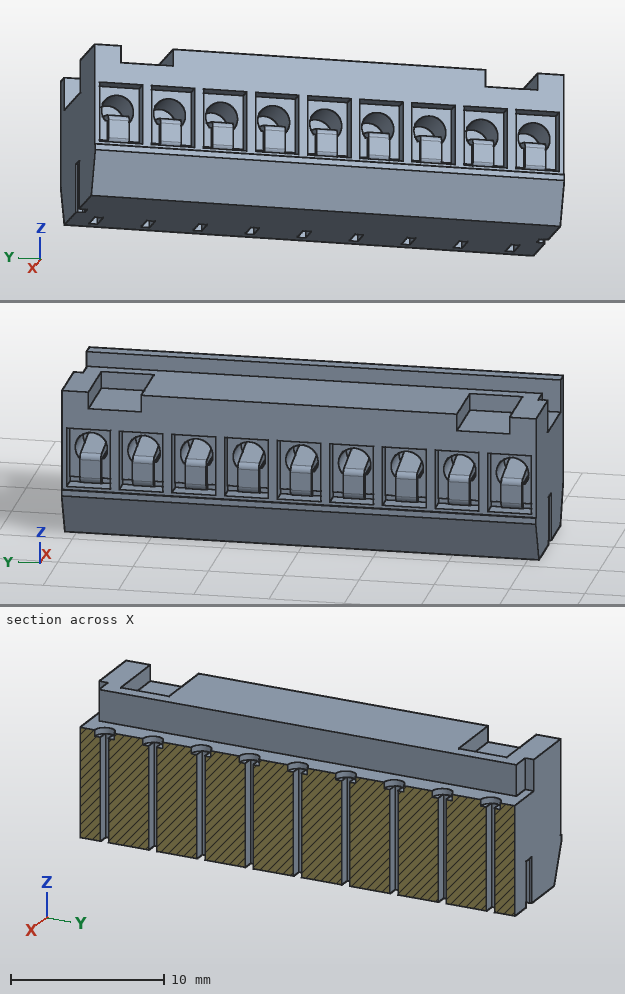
import cadquery as cq
import math

length = 31.5
width = 9.5
height = 10.0
half_length = length / 2

pole_count = 9
pole_pitch = 3.5
pole_positions = [(i - (pole_count - 1) / 2) * pole_pitch for i in range(pole_count)]

lip_overhang = 0.13
lip_top = 3.2
taper_top = 2.8
foot_left = 1.1
foot_right = 8.5
channel_left = 5.48
channel_right = 8.5
channel_floor = 7.78

shoulder_left = 4.15
shoulder_length = 0.63

top_pocket_right = 4.57
top_pocket_depth = 1.13

key_center = 4.88
key_mouth = 0.88
key_chamfer = 0.05
key_chamfer_length = 0.13
key_depth = 0.57
key_height = 3.25

entry_width = 2.9
entry_bottom = 3.43
entry_top = 7.43
entry_depth = 1.0
undercut_height = 0.38
undercut_depth = 0.15
entry_back = lip_overhang + entry_depth

wire_hole_radius = 1.07
wire_hole_z = 5.83
wire_hole_flat = 5.15
wire_hole_depth = 2.68
wire_hole_end = entry_back + wire_hole_depth

contact_width = 1.4
contact_thickness = 0.38
contact_front = entry_back - contact_thickness
contact_bend = wire_hole_flat + contact_thickness
contact_ramp_top = 6.05
contact_foot_radius = 0.47
contact_foot_center = contact_front + contact_foot_radius

screw_x = 7.0
screw_diameter = 1.4
screw_hole_depth = 0.45
screw_hole_bottom = channel_floor - screw_hole_depth
pin_slot_length = 1.58
pin_slot_width = 0.57


def box(x_min, x_max, y_min, y_max, z_min, z_max):
    """Box given by its limits."""
    size = (x_max - x_min, y_max - y_min, z_max - z_min)
    return cq.Workplane("XY").box(*size, centered=False).translate((x_min, y_min, z_min))


def extrude_along_y(outline, depth, y_center):
    """Extrude a closed outline in the XZ plane evenly about y_center."""
    return outline.extrude(depth / 2, both=True).translate((0, y_center, 0))


def make_body():
    outline = cq.Workplane("XZ").polyline([
        (foot_left, 0),
        (foot_right, 0),
        (width, taper_top),
        (width, height),
        (channel_right, height),
        (channel_right, channel_floor),
        (channel_left, channel_floor),
        (channel_left, height),
        (lip_overhang, height),
        (lip_overhang, lip_top),
        (0, lip_top),
        (0, taper_top),
    ]).close()
    return extrude_along_y(outline, length, 0)


def make_shoulder_cut():
    """Shoulder at the -Y end."""
    y_inner = -half_length + shoulder_length
    return box(shoulder_left, channel_left, -half_length, y_inner, channel_floor, height)


def make_top_pocket():
    """Top pocket between the first and second pole."""
    y_min, y_max = pole_positions[:2]
    return box(lip_overhang, top_pocket_right, y_min, y_max, height - top_pocket_depth, height)


def make_key_groove():
    """Groove in the -Y end face, chamfered at its mouth and at its floor."""
    half_mouth = key_mouth / 2
    half_neck = half_mouth - key_chamfer
    half_floor = half_neck - key_chamfer
    right_side = [
        (half_mouth, 0),
        (half_neck, key_chamfer_length),
        (half_neck, key_depth - key_chamfer_length),
        (half_floor, key_depth),
    ]
    left_side = [(-x, y) for x, y in reversed(right_side)]
    groove = cq.Workplane("XY").polyline(right_side + left_side).close().extrude(key_height)
    return groove.translate((key_center, -half_length, 0))


def make_entry_cut(y):
    """Wire entry pocket together with the flattened wire hole behind it."""
    y_min = y - entry_width / 2
    y_max = y + entry_width / 2
    pocket = box(lip_overhang, entry_back, y_min, y_max, entry_bottom, entry_top)
    undercut = box(
        entry_back, entry_back + undercut_depth,
        y_min, y_max,
        entry_bottom, entry_bottom + undercut_height,
    )
    wire_hole = (
        cq.Workplane("YZ", origin=(entry_back, y, wire_hole_z))
        .circle(wire_hole_radius)
        .extrude(wire_hole_depth)
    )
    above_flat = box(
        entry_back, wire_hole_end,
        y - wire_hole_radius, y + wire_hole_radius,
        wire_hole_flat, wire_hole_z + wire_hole_radius,
    )
    return pocket.union(undercut).union(wire_hole.intersect(above_flat))


def make_contact(y):
    """Contact strip with rounded bends at the top and bottom of its leg."""
    arc_middle = 1 - math.sqrt(0.5)
    bend_offset = contact_thickness * arc_middle
    foot_offset = contact_foot_radius * arc_middle
    outline = (
        cq.Workplane("XZ")
        .moveTo(contact_foot_center, entry_bottom)
        .threePointArc(
            (contact_front + foot_offset, entry_bottom + foot_offset),
            (contact_front, entry_bottom + contact_foot_radius),
        )
        .lineTo(contact_front, wire_hole_flat)
        .threePointArc(
            (contact_front + bend_offset, contact_bend - bend_offset),
            (entry_back, contact_bend),
        )
        .lineTo(wire_hole_end, contact_ramp_top)
        .lineTo(wire_hole_end, entry_bottom)
        .close()
    )
    return extrude_along_y(outline, contact_width, y)


def make_screw_cut(y):
    """Shallow screw hole sunk from the channel floor, with the pin slot below it."""
    screw_hole = (
        cq.Workplane("XY", origin=(screw_x, y, screw_hole_bottom))
        .circle(screw_diameter / 2)
        .extrude(screw_hole_depth)
    )
    pin_slot = (
        cq.Workplane("XY", origin=(screw_x, y, 0))
        .rect(pin_slot_length, pin_slot_width)
        .extrude(screw_hole_bottom)
    )
    return screw_hole.union(pin_slot)


result = make_body()

for end_cut in (make_shoulder_cut(), make_top_pocket(), make_key_groove()):
    result = result.cut(end_cut).cut(end_cut.mirror("XZ"))

for pole_y in pole_positions:
    result = result.cut(make_entry_cut(pole_y))
    result = result.union(make_contact(pole_y))
    result = result.cut(make_screw_cut(pole_y))